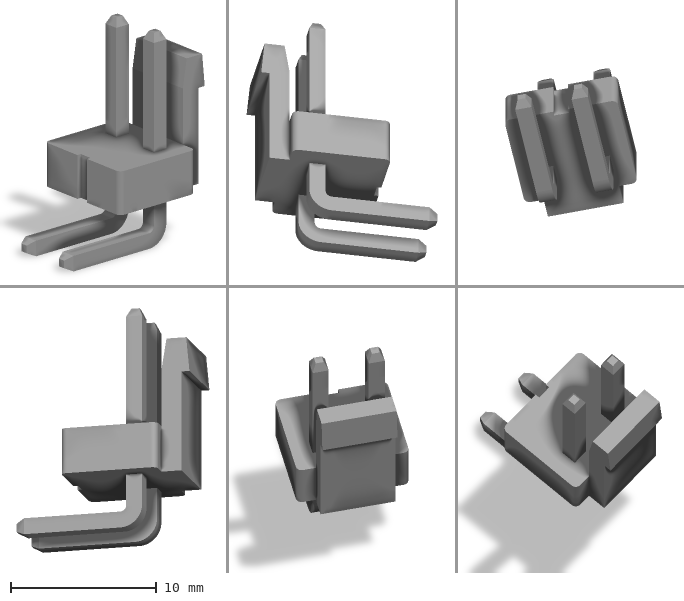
import cadquery as cq


pin_pitch = 3.95
pin_width = 1.14
pin_top = 15.57
tail_reach = 8.44
bend_outer_radius = 1.57
bend_inner_radius = bend_outer_radius - pin_width
tip_length = 0.6
tip_width = 0.56
pin_positions = [-pin_pitch / 2, pin_pitch / 2]

housing_width = 7.93
housing_front = -4.86
housing_back = 1.98
housing_bottom = 3.74
housing_height = 3.2
housing_depth = housing_back - housing_front
corner_radius = 0.42

notch_width = 1.03
notch_depth = 0.31

latch_width = 5.3
latch_back = 3.38
latch_top = 13.17
latch_top_front = 2.32
latch_top_back = 3.72
slope_start = 11.05
catch_bottom = 10.76
catch_back = 3.95


def make_tip(x, y, z, direction):
    """Pyramid frustum that starts at the given point and narrows along direction."""
    plane = cq.Plane(origin=(x, y, z), xDir=(1, 0, 0), normal=direction)
    return (
        cq.Workplane(plane)
        .rect(pin_width, pin_width)
        .workplane(offset=tip_length)
        .rect(tip_width, tip_width)
        .loft(ruled=True)
    )


def make_pin(x):
    """Square pin, bent toward -Y at the bottom, with tapered ends."""
    half = pin_width / 2
    bend_y = half - bend_outer_radius
    tip_start_y = -tail_reach + tip_length
    tip_start_z = pin_top - tip_length
    shank = (
        cq.Workplane("YZ", origin=(x - half, 0, 0))
        .moveTo(half, tip_start_z)
        .lineTo(half, bend_outer_radius)
        .radiusArc((bend_y, 0), bend_outer_radius)
        .lineTo(tip_start_y, 0)
        .lineTo(tip_start_y, pin_width)
        .lineTo(bend_y, pin_width)
        .radiusArc((-half, bend_outer_radius), -bend_inner_radius)
        .lineTo(-half, tip_start_z)
        .close()
        .extrude(pin_width)
    )
    top_tip = make_tip(x, 0, tip_start_z, (0, 0, 1))
    tail_tip = make_tip(x, tip_start_y, half, (0, -1, 0))
    return shank.union(top_tip).union(tail_tip)


def make_block():
    """Rounded block with the front notch."""
    block = (
        cq.Workplane("XY", origin=(0, (housing_front + housing_back) / 2, housing_bottom))
        .rect(housing_width, housing_depth)
        .extrude(housing_height)
        .edges("|Z")
        .fillet(corner_radius)
    )
    notch = (
        cq.Workplane("XY", origin=(0, housing_front, housing_bottom))
        .rect(notch_width, 2 * notch_depth)
        .extrude(housing_height)
    )
    return block.cut(notch)


def make_latch():
    """Upright arm with a catch facing +Y."""
    profile = [
        (housing_back, housing_bottom),
        (latch_back, housing_bottom),
        (latch_back, catch_bottom),
        (catch_back, catch_bottom),
        (latch_top_back, latch_top),
        (latch_top_front, latch_top),
        (housing_back, slope_start),
    ]
    return (
        cq.Workplane("YZ", origin=(-latch_width / 2, 0, 0))
        .polyline(profile)
        .close()
        .extrude(latch_width)
    )


def make_housing():
    """Block and latch arm in one piece, with a square through hole for each pin."""
    pin_holes = (
        cq.Workplane("XY", origin=(0, 0, housing_bottom))
        .pushPoints([(x, 0) for x in pin_positions])
        .rect(pin_width, pin_width)
        .extrude(housing_height)
    )
    return make_block().union(make_latch()).cut(pin_holes)


housing = make_housing()
pins = [make_pin(x) for x in pin_positions]

result = cq.Compound.makeCompound([housing.solids().val(), *[pin.solids().val() for pin in pins]])